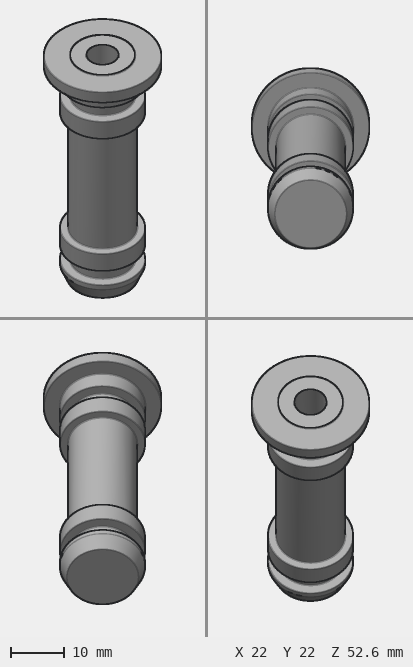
import cadquery as cq

flange_dia = 22.0
ring_dia = 15.95
shank_dia = 12.9
groove_dia = 12.2
boss_dia = 12.1
tip_dia = 13.45
bore_dia = 6.0

total_length = 52.65
ring_width = 4.15
groove_width = 3.25
taper_height = 3.05
boss_height = 0.15
flange_thickness = 2.6
collar_length = 3.6
bore_depth = 47.4

edge_radius = 0.1

tip_ring_top = ring_width
lower_ring_bottom = tip_ring_top + groove_width
lower_ring_top = lower_ring_bottom + ring_width
flange_top = total_length - boss_height
flange_bottom = flange_top - flange_thickness
collar_bottom = flange_bottom - collar_length
upper_ring_top = collar_bottom - groove_width
upper_ring_bottom = upper_ring_top - ring_width


def cylinder(diameter, bottom, top):
    """Cylinder on the Z axis between two heights."""
    return cq.Workplane("XY").workplane(offset=bottom).circle(diameter / 2).extrude(top - bottom)


def tapered_tip():
    """Cone that widens from the tip to the full ring diameter."""
    return (
        cq.Workplane("XY")
        .circle(tip_dia / 2)
        .workplane(offset=taper_height)
        .circle(ring_dia / 2)
        .loft(ruled=True)
    )


body = tapered_tip()
for diameter, bottom, top in [
    (ring_dia, taper_height, tip_ring_top),
    (groove_dia, tip_ring_top, lower_ring_bottom),
    (ring_dia, lower_ring_bottom, lower_ring_top),
    (shank_dia, lower_ring_top, upper_ring_bottom),
    (ring_dia, upper_ring_bottom, upper_ring_top),
    (groove_dia, upper_ring_top, collar_bottom),
    (ring_dia, collar_bottom, flange_bottom),
    (flange_dia, flange_bottom, flange_top),
    (boss_dia, flange_top, total_length),
]:
    body = body.union(cylinder(diameter, bottom, top))

rounded_edges = body.edges("%CIRCLE").edges("not >Z")
body = body.newObject(rounded_edges.vals()).fillet(edge_radius)

bore = cylinder(bore_dia, total_length - bore_depth, total_length)
result = body.cut(bore)